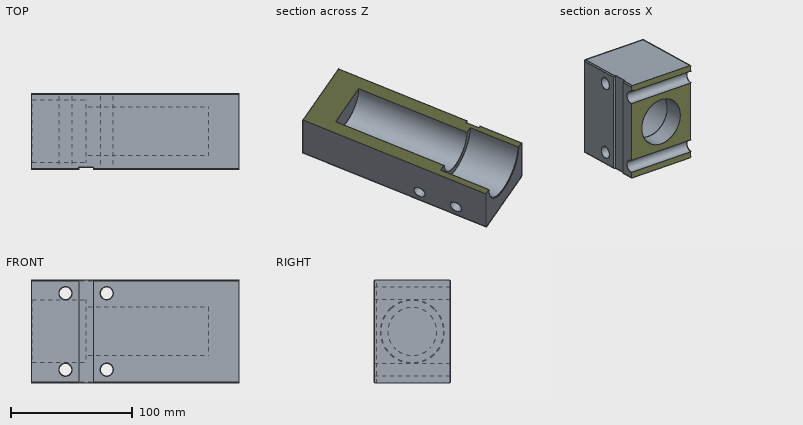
import cadquery as cq

length = 171.0
thickness = 63.0
height = 85.0
edge_chamfer = 1.0

mouth_diameter = 51.5
mouth_depth = 45.0
mouth_chamfer = 0.5
bore_diameter = 40.0
end_wall = 25.0
bore_depth = length - end_wall

groove_center_x = 45.0
groove_width = 12.0
groove_depth = 2.0
bolt_diameter = 10.5
bolt_spacing_x = 34.0
bolt_spacing_z = 63.0


def make_block():
    """Rectangular block with its four long edges chamfered."""
    block = cq.Workplane("YZ").rect(thickness, height).extrude(length)
    return block.edges("|X").chamfer(edge_chamfer)


def make_bore():
    """Cutter for the stepped bore and the chamfer at its mouth."""
    mouth_radius = mouth_diameter / 2
    bore_radius = bore_diameter / 2
    profile = [
        (0, 0),
        (0, mouth_radius + mouth_chamfer),
        (mouth_chamfer, mouth_radius),
        (mouth_depth, mouth_radius),
        (mouth_depth, bore_radius),
        (bore_depth, bore_radius),
        (bore_depth, 0),
    ]
    return cq.Workplane("XY").polyline(profile).close().revolve(360, (0, 0, 0), (1, 0, 0))


def make_groove():
    """Cutter for the key groove, running the full height of the -Y face."""
    groove_center_y = (groove_depth - thickness) / 2
    groove = cq.Workplane("XY").box(groove_width, groove_depth, height)
    return groove.translate((groove_center_x, groove_center_y, 0))


def make_bolt_holes():
    """Cutter for the four bolt holes, running through the thickness."""
    return (
        cq.Workplane("XZ")
        .center(groove_center_x, 0)
        .rarray(bolt_spacing_x, bolt_spacing_z, 2, 2)
        .circle(bolt_diameter / 2)
        .extrude(thickness / 2, both=True)
    )


result = make_block().cut(make_bore()).cut(make_groove()).cut(make_bolt_holes())